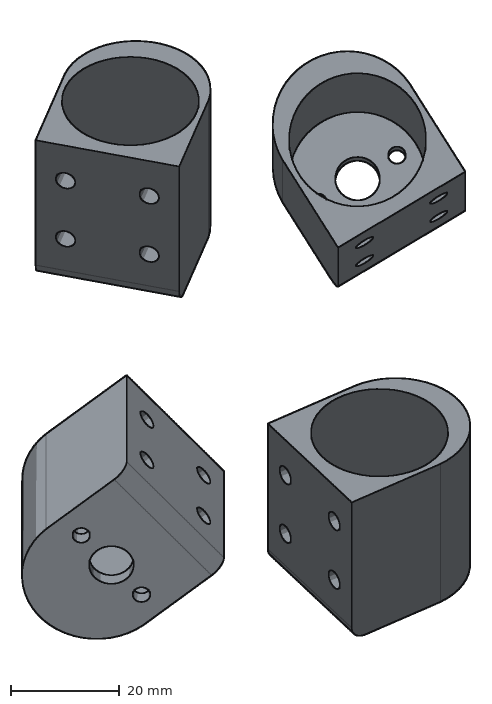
import cadquery as cq

width = 27.5
depth = 32.85
height = 33
back_arc_rise = 13.2
front_edge_radius = 3.0

bore_diameter = 25.2
bore_center_y = 15.5
floor_thickness = 3.0

shaft_hole_diameter = 8.2
screw_hole_diameter = 3.2
screw_hole_spacing = 17.0

mount_hole_diameter = 3.7
mount_spacing_x = 16.0
mount_spacing_z = 14.0
mount_center_z = 17.6


def make_body():
    side_length = depth - back_arc_rise
    body = (
        cq.Workplane("XY")
        .moveTo(-width / 2, 0)
        .lineTo(width / 2, 0)
        .lineTo(width / 2, side_length)
        .threePointArc((0, depth), (-width / 2, side_length))
        .close()
        .extrude(height)
    )
    return body.faces("<Y").edges("<Z").fillet(front_edge_radius)


def vertical_cylinder(diameter, x, bottom_z):
    return (
        cq.Workplane("XY", origin=(x, bore_center_y, bottom_z))
        .circle(diameter / 2)
        .extrude(height - bottom_z)
    )


def mounting_holes():
    return (
        cq.Workplane("XZ", origin=(0, 0, mount_center_z))
        .rarray(mount_spacing_x, mount_spacing_z, 2, 2)
        .circle(mount_hole_diameter / 2)
        .extrude(-bore_center_y)
    )


result = make_body()
result = result.cut(vertical_cylinder(bore_diameter, 0, floor_thickness))
result = result.cut(vertical_cylinder(shaft_hole_diameter, 0, 0))
for side in (-1, 1):
    screw_x = side * screw_hole_spacing / 2
    result = result.cut(vertical_cylinder(screw_hole_diameter, screw_x, 0))
result = result.cut(mounting_holes())